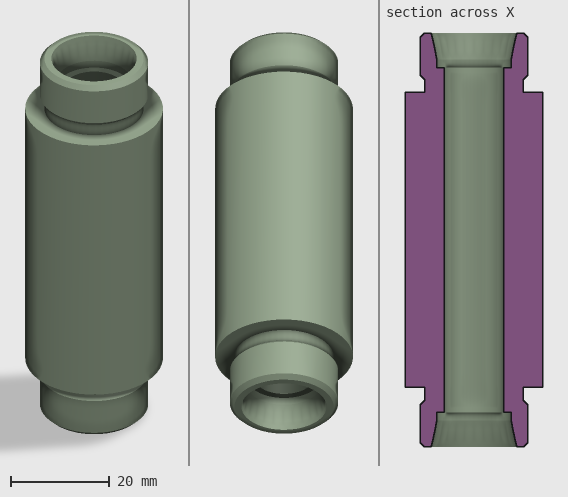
import cadquery as cq
import math

total_length = 84.0
body_diameter = 28.0
collar_diameter = 22.0
neck_diameter = 20.2
end_length = 12.0
neck_length = 2.5
bore_diameter = 12.0
socket_diameter = 15.0
socket_depth = 7.0
mouth_diameter = 17.3
cone_half_angle = 12.0

half_length = total_length / 2
shoulder_z = half_length - end_length
collar_chamfer = (collar_diameter - neck_diameter) / 2
cone_depth = (mouth_diameter - socket_diameter) / 2 / math.tan(math.radians(cone_half_angle))


def make_end_radii_and_heights():
    """Half profile of the upper end, from the body shoulder to the bore."""
    collar_base_z = shoulder_z + neck_length
    return [
        (body_diameter / 2, shoulder_z),
        (neck_diameter / 2, shoulder_z),
        (neck_diameter / 2, collar_base_z),
        (collar_diameter / 2, collar_base_z + collar_chamfer),
        (collar_diameter / 2, half_length - collar_chamfer),
        (neck_diameter / 2, half_length),
        (mouth_diameter / 2, half_length),
        (socket_diameter / 2, half_length - cone_depth),
        (socket_diameter / 2, half_length - socket_depth),
        (bore_diameter / 2, half_length - socket_depth),
    ]


upper_outline = make_end_radii_and_heights()
lower_outline = [(radius, -z) for radius, z in reversed(upper_outline)]

result = (
    cq.Workplane("XZ")
    .polyline(upper_outline + lower_outline)
    .close()
    .revolve(360, (0, 0, 0), (0, 1, 0))
)